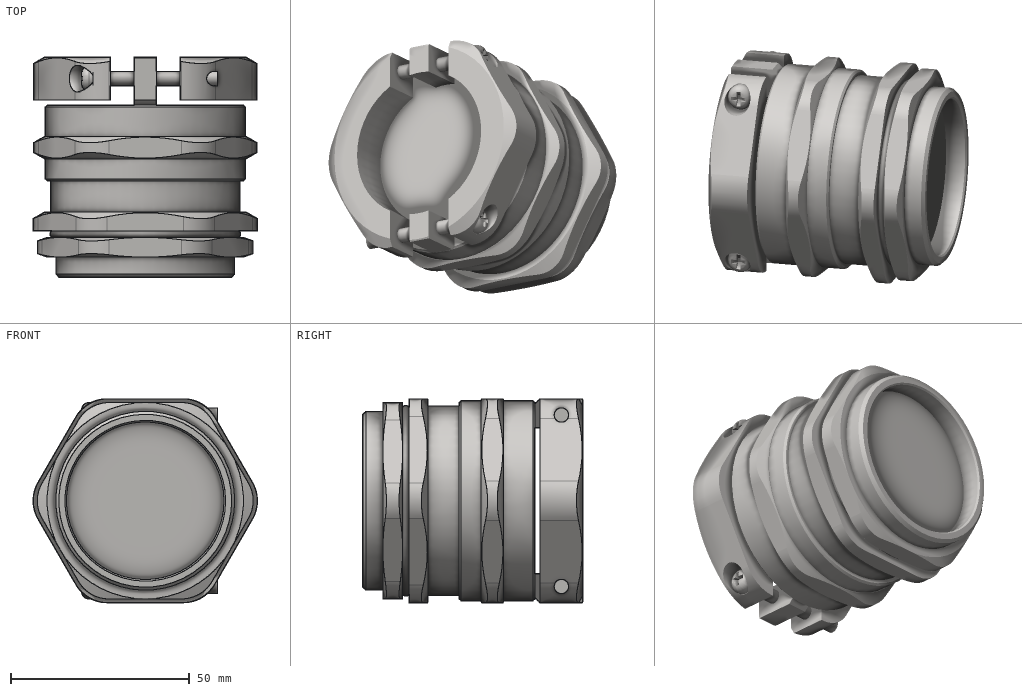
import cadquery as cq
import math


THREAD_CHAMFER_END = 0.95
NUT_FRONT = 5.65
NUT_REAR = 11.15
FLANGE_FRONT = 13.0
FLANGE_REAR = 18.25
CAP_FRONT = 27.0
CAP_HEX_FRONT = 33.1
CAP_HEX_REAR = 39.4
CAP_REAR = 48.1
CLAMP_FRONT = 49.55
CLAMP_REAR = 61.5

THREAD_D = 50.0
THREAD_END_D = 48.3
BORE_D = 44.0
BARREL_D = 53.0
CAP_D = 56.0
SEAL_MID_D = 53.3
SEAL_EDGE_D = 52.3
BORE_DEPTH = 5.95
BORE_CHAMFER = 0.45
CAP_CHAMFER = 0.55

HEX_SIDES = 6
HEX_FLATS = 57.0
HEX_FACE_D = 56.3
NUT_FLATS = 54.9
FLANGE_CORNER_R = 10.05
CAP_CORNER_R = 10.9
NUT_CORNER_R = 9.85
HEX_BEVEL = 30.0
NUT_BEVEL = 20.0

CLAMP_BORE_D = 41.3
JAW_GAP = 19.45
TAB_WIDTH = 6.3
TAB_SLOPE = 1.3

SCREW_Z = 23.95
SCREW_Y = (CLAMP_FRONT + CLAMP_REAR) / 2
SCREW_HEIGHTS = (SCREW_Z, -SCREW_Z)
SCREW_D = 4.0
SCREW_END_X = 20.25
HEAD_D = 7.0
HEAD_SEAT_X = -14.6
HEAD_RIM = 1.05
HEAD_TOP_D = 2.7
HEAD_POCKET_D = 7.4
RECESS_LENGTH = 4.5
RECESS_WIDTH = 1.2
RECESS_DEPTH = 2.0

HEAD_DOME_R = (HEAD_D - HEAD_TOP_D) / 2
HEAD_HEIGHT = HEAD_RIM + HEAD_DOME_R


def disc(diameter, front, rear):
    """Cylinder on the gland axis between two stations."""
    return cq.Workplane("XZ", origin=(0, front, 0)).circle(diameter / 2).extrude(front - rear)


def hex_plate(flats, face_d, corner_r, front, rear, bevel, bevel_front=True):
    """Hexagon with rounded corners, two of them on the X axis, bevelled by a cone on its faces."""
    across_corners = flats / math.cos(math.pi / HEX_SIDES)
    plate = (
        cq.Workplane("XZ", origin=(0, front, 0))
        .polygon(HEX_SIDES, across_corners)
        .extrude(front - rear)
        .edges("|Y")
        .fillet(corner_r)
    )
    face_r = face_d / 2
    outer_r = across_corners / 2
    drop = (outer_r - face_r) * math.tan(math.radians(bevel))
    outline = [(0, rear), (0, front)]
    if bevel_front:
        outline += [(face_r, front), (outer_r, front + drop)]
    else:
        outline += [(outer_r, front)]
    outline += [(outer_r, rear - drop), (face_r, rear)]
    cone = cq.Workplane("XY").polyline(outline).close().revolve(360, (0, 0), (0, 1))
    return plate.intersect(cone)


def seal_ring():
    """Seal with a bulged rim, squeezed between the flange and the lock nut."""
    return (
        cq.Workplane("XY")
        .moveTo(0, NUT_REAR)
        .lineTo(SEAL_EDGE_D / 2, NUT_REAR)
        .threePointArc(
            (SEAL_MID_D / 2, (NUT_REAR + FLANGE_FRONT) / 2),
            (SEAL_EDGE_D / 2, FLANGE_FRONT),
        )
        .lineTo(0, FLANGE_FRONT)
        .close()
        .revolve(360, (0, 0), (0, 1))
    )


def threaded_end():
    end_chamfer = (THREAD_D - THREAD_END_D) / 2
    end = disc(THREAD_D, 0, FLANGE_FRONT)
    return end.faces("<Y").chamfer(THREAD_CHAMFER_END, end_chamfer)


def front_bore():
    mouth = cq.Workplane("XZ").circle(BORE_D / 2 + BORE_CHAMFER)
    mouth = mouth.workplane(offset=-BORE_CHAMFER).circle(BORE_D / 2).loft()
    return disc(BORE_D, 0, BORE_DEPTH).union(mouth)


def cap():
    barrel = disc(CAP_D, CAP_FRONT, CAP_REAR).edges().chamfer(CAP_CHAMFER)
    grip = hex_plate(HEX_FLATS, HEX_FACE_D, CAP_CORNER_R, CAP_HEX_FRONT, CAP_HEX_REAR, HEX_BEVEL)
    return barrel.union(grip)


def clamp_ring(front):
    """Hexagonal ring from which both the jaws and the tabs are taken."""
    ring = hex_plate(
        HEX_FLATS, HEX_FACE_D, CAP_CORNER_R, front, CLAMP_REAR, HEX_BEVEL, bevel_front=False
    )
    return ring.cut(disc(CLAMP_BORE_D, front, CLAMP_REAR))


def slab(width, front):
    """Block centred on X = 0 that spans the clamp from a station to its rear."""
    depth = CLAMP_REAR - front
    block = cq.Workplane("XY").box(width, depth, 2 * HEX_FLATS)
    return block.translate((0, front + depth / 2, 0))


def jaws():
    return clamp_ring(CLAMP_FRONT).cut(slab(JAW_GAP, CLAMP_FRONT))


def tabs():
    """Upper and lower tab, sloped on the outside where they meet the cap."""
    half = HEX_FLATS / 2
    side = [
        (CAP_REAR, half - TAB_SLOPE),
        (CLAMP_FRONT - TAB_SLOPE, half - TAB_SLOPE),
        (CLAMP_FRONT, half),
        (CLAMP_REAR, half),
    ]
    side += [(y, -z) for y, z in reversed(side)]
    profile = cq.Workplane("YZ").polyline(side).close().extrude(TAB_WIDTH / 2, both=True)
    return clamp_ring(CAP_REAR).intersect(profile)


def along_screw(diameter, start_x, end_x, z):
    """Cylinder on a screw axis between two X positions."""
    start = cq.Workplane("YZ", origin=(start_x, SCREW_Y, z))
    return start.circle(diameter / 2).extrude(end_x - start_x)


def cross_recess():
    """Cross cut whose arms slope down to the middle; its open side faces -X at x = 0."""
    half = RECESS_LENGTH / 2
    floor = RECESS_WIDTH / 2
    outline = [
        (-HEAD_DOME_R, -half),
        (0, -half),
        (RECESS_DEPTH, -floor),
        (RECESS_DEPTH, floor),
        (0, half),
        (-HEAD_DOME_R, half),
    ]
    arm = cq.Workplane("XY").polyline(outline).close().extrude(RECESS_WIDTH / 2, both=True)
    return arm.union(arm.rotate((0, 0, 0), (1, 0, 0), 90))


def screw(z):
    """Pan-head screw with its head on the -X side."""
    shank = along_screw(SCREW_D, HEAD_SEAT_X, SCREW_END_X, z)
    head = along_screw(HEAD_D, HEAD_SEAT_X - HEAD_HEIGHT, HEAD_SEAT_X, z)
    head = head.faces("<X").edges().fillet(HEAD_DOME_R)
    recess = cross_recess().translate((HEAD_SEAT_X - HEAD_HEIGHT, SCREW_Y, z))
    return shank.union(head.cut(recess))


def make_gland():
    flange = hex_plate(
        HEX_FLATS, HEX_FACE_D, FLANGE_CORNER_R, FLANGE_FRONT, FLANGE_REAR, HEX_BEVEL, bevel_front=False
    )
    barrel = disc(BARREL_D, FLANGE_REAR, CAP_FRONT)
    gland = threaded_end().union(seal_ring()).union(flange).union(barrel).union(cap()).union(tabs())
    gland = gland.cut(front_bore())
    clamp = jaws()
    for z in SCREW_HEIGHTS:
        clamp = clamp.cut(along_screw(HEAD_POCKET_D, -HEX_FLATS, HEAD_SEAT_X, z))
    gland = gland.union(clamp)
    for z in SCREW_HEIGHTS:
        gland = gland.union(screw(z))
    return gland


def make_lock_nut():
    nut = hex_plate(NUT_FLATS, NUT_FLATS, NUT_CORNER_R, NUT_FRONT, NUT_REAR, NUT_BEVEL)
    return nut.cut(disc(THREAD_D, NUT_FRONT, NUT_REAR))


gland = make_gland()
lock_nut = make_lock_nut()

result = cq.Compound.makeCompound([gland.val(), lock_nut.val()])